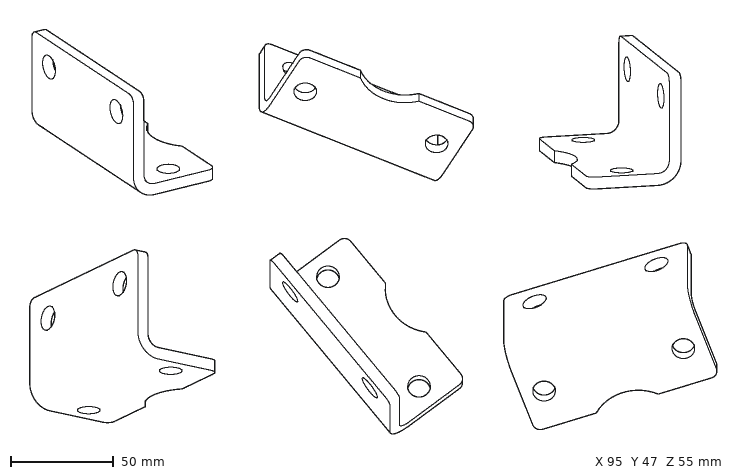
import cadquery as cq

length = 95.0
depth = 47.0
height = 55.0

thickness = 6.0
inner_bend_radius = 6.0
outer_bend_radius = inner_bend_radius + thickness
corner_radius = 4.0

upright_hole_diameter = 12.0
upright_hole_spacing = 63.0
upright_hole_height = 41.0

base_hole_diameter = 11.0
base_hole_spacing = 72.0
base_hole_offset = 27.0

notch_width = 32.0
notch_depth = 6.6
notch_radius = ((notch_width / 2) ** 2 + notch_depth**2) / (2 * notch_depth)


def bent_sheet():
    """L-shaped sheet, centred on X, with its outer corner at Y = Z = 0."""
    profile = (
        cq.Workplane("YZ")
        .moveTo(0, 0)
        .lineTo(depth, 0)
        .lineTo(depth, thickness)
        .lineTo(thickness, thickness)
        .lineTo(thickness, height)
        .lineTo(0, height)
        .close()
    )
    sheet = profile.extrude(length / 2, both=True)
    inner_edge = cq.selectors.NearestToPointSelector((0, thickness, thickness))
    sheet = sheet.edges("|X").edges(inner_edge).fillet(inner_bend_radius)
    outer_edge = cq.selectors.NearestToPointSelector((0, 0, 0))
    return sheet.edges("|X").edges(outer_edge).fillet(outer_bend_radius)


def round_free_corners(body):
    body = body.faces(">Z").edges("|Y").fillet(corner_radius)
    return body.faces(">Y").edges("|Z").fillet(corner_radius)


def upright_holes():
    half_spacing = upright_hole_spacing / 2
    return (
        cq.Workplane("XZ")
        .pushPoints([(side * half_spacing, upright_hole_height) for side in (-1, 1)])
        .circle(upright_hole_diameter / 2)
        .extrude(-thickness)
    )


def base_holes():
    half_spacing = base_hole_spacing / 2
    return (
        cq.Workplane("XY")
        .pushPoints([(side * half_spacing, base_hole_offset) for side in (-1, 1)])
        .circle(base_hole_diameter / 2)
        .extrude(thickness)
    )


def edge_notch():
    notch_center_y = depth - notch_depth + notch_radius
    return cq.Workplane("XY").center(0, notch_center_y).circle(notch_radius).extrude(thickness)


bracket = round_free_corners(bent_sheet())
result = bracket.cut(upright_holes()).cut(base_holes()).cut(edge_notch())